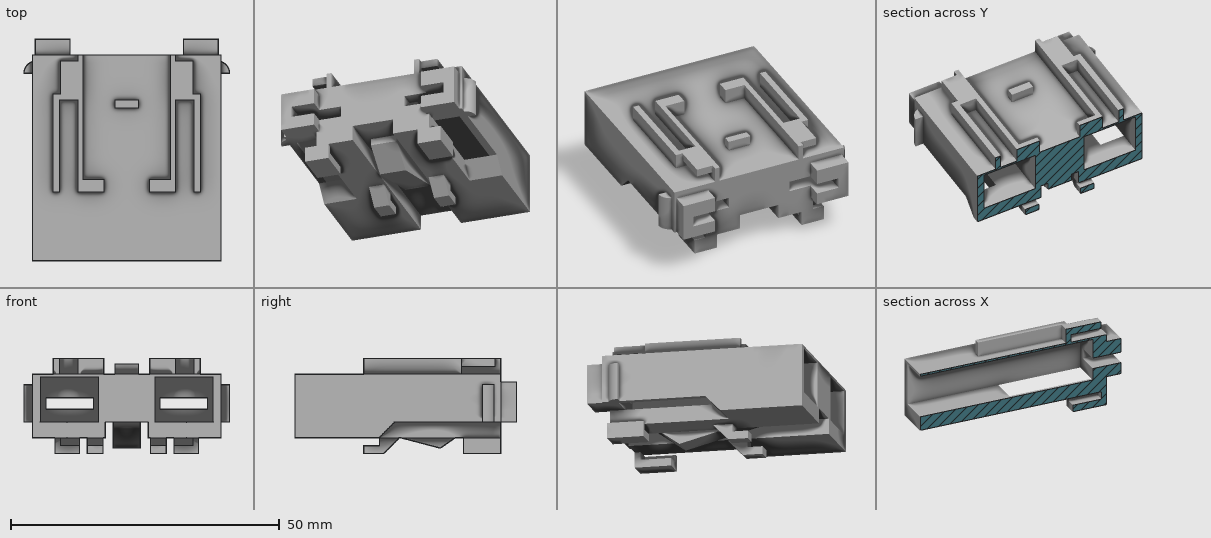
import cadquery as cq

OVERALL_LENGTH = 41.2
STEP = 2.93
BODY_LENGTH = OVERALL_LENGTH - STEP
BODY_WIDTH = 35.08
BODY_HEIGHT = 11.85
LEDGE_Z = STEP - BODY_HEIGHT
BODY_BOTTOM = -BODY_HEIGHT
FOOT_BOTTOM = BODY_BOTTOM - STEP
LEDGE_LENGTH = 19.75
CHANNEL_HALF_WIDTH = 3.95
BEAM_OUTER_X = 11.15

CAVITY_INNER_X = 5.25
CAVITY_OUTER_X = 16.08
CAVITY_TOP_Z = -0.5
CAVITY_DEPTH = BODY_LENGTH - STEP
SLOT_INNER_X = 6.22
SLOT_OUTER_X = 15.0
SLOT_TOP_Z = -4.4
SLOT_BOTTOM_Z = -6.5

BOSS_INNER_X = 10.55
BOSS_OUTER_X = 17.05
BOSS_TOP_Z = -1.45

RAIL_LENGTH = 25.5
HOOK_INNER_X = 4.25
HOOK_LENGTH = 2.4
INNER_RAIL_X = 8.15
RAIL_GAP_X = 9.1
RAIL_GAP_OUTER_X = 12.55
OUTER_RAIL_X = 13.7
WEB_OUTER_X = 12.32
WEB_BACK = 1.1
OUTER_RAIL_BACK = 7.3
RAIL_GAP_BACK = 8.4
HALF_STEP = STEP / 2

STOP_WIDTH = 4.45
STOP_BACK = 8.4
STOP_LENGTH = 1.5
STOP_HEIGHT = 1.95

RIB_WIDTH = 1.6
RIB_BACK = 1.25
RIB_LENGTH = 2.2
RIB_RADIUS = (RIB_WIDTH**2 + RIB_LENGTH**2) / (2 * RIB_WIDTH)
RIB_TOP_Z = -1.95

FOOT_INNER_X = 8.8
FOOT_OUTER_X = 13.35
FOOT_WALL = 1.0
FOOT_LENGTH = 6.95
HOOK_LEG_INNER_X = 4.4
HOOK_LEG_OUTER_X = 7.38
HOOK_LEG_BACK = 18.85
HOOK_LEG_FRONT = 22.6

LATCH_WIDTH = 5.05
LATCH_THICKNESS = 1.28
LATCH_DROP = 1.95
LATCH_TIP_BACK = 11.25
LATCH_REAR_BACK = 6.1
LATCH_FRONT_BACK = 24.95


def box(x0, x1, y0, y1, z0, z1):
    """Box between two opposite corners."""
    return cq.Workplane("XY").box(x1 - x0, y1 - y0, z1 - z0, centered=False).translate((x0, y0, z0))


def back_box(x0, x1, back0, back1, z0, z1):
    """Box whose Y extent is given as distances forward from the rear face."""
    return box(x0, x1, BODY_LENGTH - back1, BODY_LENGTH - back0, z0, z1)


def side_profile(points, x0, x1):
    """Outline of (distance from the rear face, Z) points, extruded from x0 to x1."""
    outline = [(BODY_LENGTH - back, z) for back, z in points]
    return cq.Workplane("YZ").workplane(offset=x0).polyline(outline).close().extrude(x1 - x0)


def both_sides(half):
    """A feature at +X together with its mirror image at -X."""
    return half.union(half.mirror("YZ"))


def main_block():
    profile = [
        (0, 0),
        (BODY_LENGTH, 0),
        (BODY_LENGTH, BODY_BOTTOM),
        (LEDGE_LENGTH + STEP, BODY_BOTTOM),
        (LEDGE_LENGTH, LEDGE_Z),
        (0, LEDGE_Z),
    ]
    block = side_profile(profile, -BODY_WIDTH / 2, BODY_WIDTH / 2)
    channel = box(-CHANNEL_HALF_WIDTH, CHANNEL_HALF_WIDTH, 0, BODY_LENGTH, BODY_BOTTOM, LEDGE_Z)
    beam = back_box(CHANNEL_HALF_WIDTH, BEAM_OUTER_X, 0, LEDGE_LENGTH + STEP, BODY_BOTTOM, LEDGE_Z)
    return block.cut(channel).union(both_sides(beam))


def rear_boss():
    return box(BOSS_INNER_X, BOSS_OUTER_X, BODY_LENGTH, OVERALL_LENGTH, LEDGE_Z, BOSS_TOP_Z)


def cavity():
    pocket = box(CAVITY_INNER_X, CAVITY_OUTER_X, 0, CAVITY_DEPTH, LEDGE_Z, CAVITY_TOP_Z)
    slot = box(SLOT_INNER_X, SLOT_OUTER_X, 0, OVERALL_LENGTH, SLOT_BOTTOM_Z, SLOT_TOP_Z)
    return pocket.union(slot)


def top_rail():
    inner = back_box(INNER_RAIL_X, RAIL_GAP_X, 0, RAIL_LENGTH, 0, STEP)
    hook = back_box(HOOK_INNER_X, RAIL_GAP_X, RAIL_LENGTH - HOOK_LENGTH, RAIL_LENGTH, 0, STEP)
    outer = back_box(RAIL_GAP_OUTER_X, OUTER_RAIL_X, OUTER_RAIL_BACK, RAIL_LENGTH, 0, STEP)
    bridge = back_box(RAIL_GAP_X, OUTER_RAIL_X, OUTER_RAIL_BACK, RAIL_GAP_BACK, 0, STEP)
    web = back_box(RAIL_GAP_X, WEB_OUTER_X, WEB_BACK, OUTER_RAIL_BACK, HALF_STEP, STEP)
    return inner.union(hook).union(outer).union(bridge).union(web)


def stop_block():
    return back_box(-STOP_WIDTH / 2, STOP_WIDTH / 2, STOP_BACK, STOP_BACK + STOP_LENGTH, 0, STOP_HEIGHT)


def side_rib():
    """Rib with a flat front and an arc that meets it square at the outer edge."""
    wall_x = BODY_WIDTH / 2
    front_y = BODY_LENGTH - RIB_BACK - RIB_LENGTH
    return (
        cq.Workplane("XY")
        .workplane(offset=LEDGE_Z)
        .moveTo(wall_x, front_y)
        .lineTo(wall_x + RIB_WIDTH, front_y)
        .radiusArc((wall_x, front_y + RIB_LENGTH), -RIB_RADIUS)
        .close()
        .extrude(RIB_TOP_Z - LEDGE_Z)
    )


def guide_foot():
    """Foot with a pocket open at the front, the top and the inner side."""
    foot = back_box(FOOT_INNER_X, FOOT_OUTER_X, 0, FOOT_LENGTH, FOOT_BOTTOM, BODY_BOTTOM)
    pocket = back_box(
        FOOT_INNER_X, FOOT_OUTER_X - FOOT_WALL, WEB_BACK, FOOT_LENGTH, FOOT_BOTTOM + HALF_STEP, BODY_BOTTOM
    )
    return foot.cut(pocket)


def hook_leg():
    profile = [
        (HOOK_LEG_BACK, BODY_BOTTOM),
        (HOOK_LEG_BACK + STEP, FOOT_BOTTOM),
        (RAIL_LENGTH, FOOT_BOTTOM),
        (RAIL_LENGTH, FOOT_BOTTOM + HALF_STEP),
        (HOOK_LEG_FRONT, FOOT_BOTTOM + HALF_STEP),
        (HOOK_LEG_FRONT, BODY_BOTTOM),
    ]
    return side_profile(profile, HOOK_LEG_INNER_X, HOOK_LEG_OUTER_X)


def latch():
    """Tongue with a wedge-shaped tip below and a quarter-round nose at the front."""
    underside_z = LEDGE_Z - LATCH_THICKNESS
    front_y = BODY_LENGTH - LATCH_FRONT_BACK
    return (
        cq.Workplane("YZ")
        .workplane(offset=-LATCH_WIDTH / 2)
        .moveTo(BODY_LENGTH - LATCH_REAR_BACK, LEDGE_Z)
        .lineTo(BODY_LENGTH - LATCH_REAR_BACK, underside_z)
        .lineTo(BODY_LENGTH - LATCH_TIP_BACK, BODY_BOTTOM - LATCH_DROP)
        .lineTo(front_y, underside_z)
        .radiusArc((front_y - LATCH_THICKNESS, LEDGE_Z), LATCH_THICKNESS)
        .close()
        .extrude(LATCH_WIDTH)
    )


result = main_block().union(stop_block()).union(latch())
for feature in (rear_boss, top_rail, side_rib, guide_foot, hook_leg):
    result = result.union(both_sides(feature()))
result = result.cut(both_sides(cavity()))